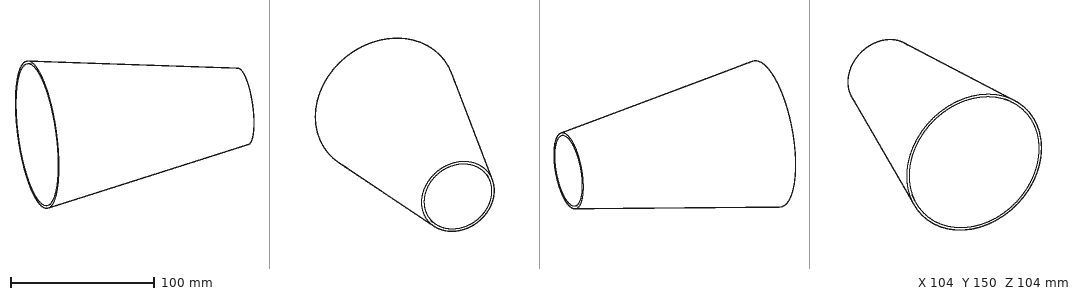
import cadquery as cq

length = 150.0
large_outer_diameter = 104.0
small_outer_diameter = 54.0
wall = 2.0

large_outer_radius = large_outer_diameter / 2
small_outer_radius = small_outer_diameter / 2
large_inner_radius = large_outer_radius - wall
small_inner_radius = small_outer_radius - wall

wall_section = (
    cq.Workplane("XY")
    .moveTo(large_inner_radius, 0)
    .lineTo(large_outer_radius, 0)
    .lineTo(small_outer_radius, length)
    .lineTo(small_inner_radius, length)
    .close()
)

result = wall_section.revolve(360, (0, 0, 0), (0, 1, 0))